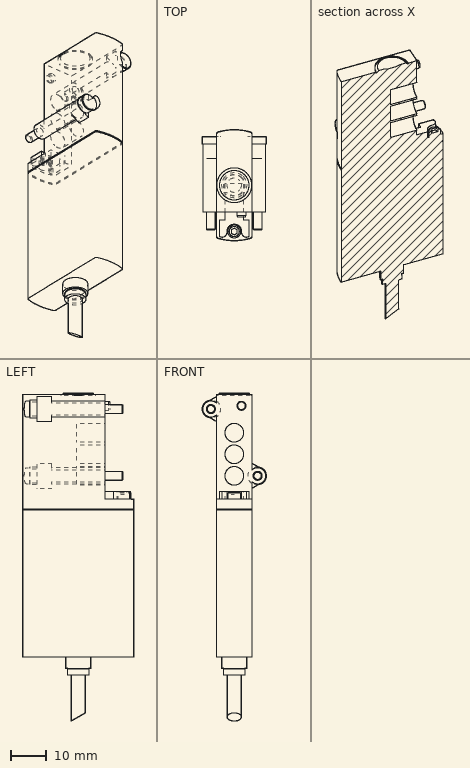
import cadquery as cq
import math

TOTAL_HEIGHT = 91.33
BODY_WIDTH = 10.0
BODY_DEPTH = 31.0
BODY_HEIGHT = 73.2
BUTTON_RISE = 0.3

BOW_HEIGHT = 0.8
CORNER_RADIUS = 0.65

PORT_FACE_Y = -7.5
SHELF_Z = 44.0

JOINT_Z = 41.0
JOINT_HEIGHT = 0.3
JOINT_DEPTH = 0.1

PORT_DIAMETER = 5.2
PORT_DEPTH = 8.0
PORT_PITCH = 6.0
PORT_COUNT = 3
LOWEST_PORT_Z = 50.5
LOCATING_PIN_DIAMETER = 2.5
LOCATING_PIN_X = 2.0
LOCATING_PIN_Z = 70.0
LOCATING_PIN_LENGTH = 1.4
LOCATING_PIN_TIP_LENGTH = 0.5
LOCATING_PIN_TIP_DIAMETER = 2.1

SCREW_OFFSET_X = 6.5
LEFT_SCREW_Z = 69.1
RIGHT_SCREW_Z = LOWEST_PORT_Z
SCREW_DIAMETER = 2.5
SCREW_TIP_Y = -12.5
SCREW_CHAMFER = 0.25
SLEEVE_DIAMETER = 4.5
HEAD_DIAMETER = 4.9
HEAD_SEAT_Y = 11.5
HEAD_HEIGHT = 2.1
HEAD_CHAMFER = 0.2
HEAD_RELIEF_DIAMETER = 5.4
GUSSET_LENGTH = 4.0
GUSSET_ANGLE = 30.0

BUTTON_TOP_DIAMETER = 8.2
BUTTON_BASE_DIAMETER = 9.7
BUTTON_GROOVE_DEPTH = 0.4
DIMPLE_DIAMETER = 5.0
DIMPLE_FLOOR_DIAMETER = 2.5
DIMPLE_DEPTH = 0.35

CLAMP_HEIGHT = 2.2
CLAMP_HALF_WIDTH = 4.1
CLAMP_NECK_HALF_WIDTH = 2.55
CLAMP_SHOULDER_Y = -9.75
CLAMP_SIDE_END_Y = -14.3
CLAMP_FRONT_Y = -14.5
CLAMP_MOUTH_RADIUS = 1.35
CLAMP_SCREW_Y = -12.9
CLAMP_NOTCH_RADIUS = 2.05
CLAMP_SCREW_DIAMETER = 3.6
CLAMP_SCREW_HEIGHT = 2.05
CLAMP_SCREW_CHAMFER = 0.4
CLAMP_SOCKET_ACROSS_FLATS = 1.65
HEXAGON_SIDES = 6
CLAMP_SOCKET_DEPTH = 0.8

OUTLET_DIAMETER = 7.0
OUTLET_LENGTH = 3.1
BUSH_DIAMETER = 6.0
BUSH_END = 5.0
BUSH_GROOVE_WIDTH = 0.25
BUSH_GROOVE_DEPTH = 0.1
CABLE_DIAMETER = 4.0
CABLE_CUT_ANGLE = 30.0

OVERLAP = 0.5


def cylinder_y(x, z, diameter, y_front, y_back):
    """Cylinder along Y between two Y positions."""
    plane = cq.Workplane("XZ", origin=(x, y_back, z))
    return plane.circle(diameter / 2).extrude(y_back - y_front)


def cylinder_z(diameter, z_low, z_high, y=0.0):
    """Cylinder along Z between two heights."""
    return cq.Workplane("XY", origin=(0, y, z_low)).circle(diameter / 2).extrude(z_high - z_low)


def cone_z(low_diameter, high_diameter, z_low, z_high):
    """Truncated cone along Z, centred on the housing axis."""
    base = cq.Workplane("XY", origin=(0, 0, z_low)).circle(low_diameter / 2)
    return base.workplane(offset=z_high - z_low).circle(high_diameter / 2).loft()


def housing_prism(z_low, z_high, inset=0.0):
    """Housing outline extruded between two heights, optionally shrunk all round."""
    x = BODY_WIDTH / 2 - inset
    y_end = BODY_DEPTH / 2 - inset
    y_side = y_end - BOW_HEIGHT
    outline = (
        cq.Workplane("XY", origin=(0, 0, z_low))
        .moveTo(-x, -y_side)
        .threePointArc((0, -y_end), (x, -y_side))
        .lineTo(x, y_side)
        .threePointArc((0, y_end), (-x, y_side))
        .close()
    )
    return outline.extrude(z_high - z_low).edges("|Z").fillet(CORNER_RADIUS)


def make_housing():
    body = housing_prism(0, BODY_HEIGHT)
    step_depth = PORT_FACE_Y + BODY_DEPTH / 2
    step = cq.Workplane("XY").box(
        BODY_WIDTH, step_depth, BODY_HEIGHT - SHELF_Z, centered=(True, False, False)
    )
    body = body.cut(step.translate((0, -BODY_DEPTH / 2, SHELF_Z)))
    joint_top = JOINT_Z + JOINT_HEIGHT
    ring = housing_prism(JOINT_Z, joint_top).cut(housing_prism(JOINT_Z, joint_top, JOINT_DEPTH))
    return body.cut(ring)


def add_front_face_features(body):
    for index in range(PORT_COUNT):
        z = LOWEST_PORT_Z + index * PORT_PITCH
        body = body.cut(cylinder_y(0, z, PORT_DIAMETER, PORT_FACE_Y, PORT_FACE_Y + PORT_DEPTH))
    tip_y = PORT_FACE_Y - LOCATING_PIN_LENGTH
    shoulder_y = tip_y + LOCATING_PIN_TIP_LENGTH
    pin = cylinder_y(
        LOCATING_PIN_X, LOCATING_PIN_Z, LOCATING_PIN_DIAMETER, shoulder_y, PORT_FACE_Y + OVERLAP
    )
    tip = (
        cq.Workplane("XZ", origin=(LOCATING_PIN_X, shoulder_y, LOCATING_PIN_Z))
        .circle(LOCATING_PIN_DIAMETER / 2)
        .workplane(offset=LOCATING_PIN_TIP_LENGTH)
        .circle(LOCATING_PIN_TIP_DIAMETER / 2)
        .loft()
    )
    return body.union(pin).union(tip)


def make_gusset(side, z):
    """Wedge from the housing wall, tangent to the screw sleeve above and below."""
    angle = math.radians(GUSSET_ANGLE)
    radius = SLEEVE_DIAMETER / 2
    tangent_x = SCREW_OFFSET_X + radius * math.sin(angle)
    tangent_z = radius * math.cos(angle)
    root_x = BODY_WIDTH / 2 - OVERLAP
    root_z = tangent_z + (tangent_x - root_x) * math.tan(angle)
    corners = [
        (side * root_x, -root_z),
        (side * tangent_x, -tangent_z),
        (side * tangent_x, tangent_z),
        (side * root_x, root_z),
    ]
    plane = cq.Workplane("XZ", origin=(0, HEAD_SEAT_Y, z))
    return plane.polyline(corners).close().extrude(GUSSET_LENGTH)


def add_mounting_screw(body, side, z):
    x = side * SCREW_OFFSET_X
    head_top = HEAD_SEAT_Y + HEAD_HEIGHT
    head = cylinder_y(x, z, HEAD_DIAMETER, HEAD_SEAT_Y, head_top).faces(">Y").chamfer(HEAD_CHAMFER)
    shank = cylinder_y(x, z, SCREW_DIAMETER, SCREW_TIP_Y, HEAD_SEAT_Y)
    shank = shank.faces("<Y").chamfer(SCREW_CHAMFER)
    sleeve = cylinder_y(x, z, SLEEVE_DIAMETER, PORT_FACE_Y, HEAD_SEAT_Y)
    body = body.cut(cylinder_y(x, z, HEAD_RELIEF_DIAMETER, head_top, BODY_DEPTH / 2))

    core = cq.Workplane("XY").box(
        BODY_WIDTH - 2 * OVERLAP, BODY_DEPTH, BODY_HEIGHT, centered=(True, True, False)
    )
    screw = sleeve.union(make_gusset(side, z)).union(shank).union(head)
    return body.union(screw.cut(core))


def add_button(body):
    groove_z = BODY_HEIGHT - BUTTON_GROOVE_DEPTH
    top_z = BODY_HEIGHT + BUTTON_RISE
    body = body.cut(cylinder_z(BUTTON_BASE_DIAMETER, groove_z, BODY_HEIGHT))
    button = cone_z(BUTTON_BASE_DIAMETER, BUTTON_TOP_DIAMETER, groove_z, top_z)
    dimple = cone_z(DIMPLE_FLOOR_DIAMETER, DIMPLE_DIAMETER, top_z - DIMPLE_DEPTH, top_z)
    return body.union(button).cut(dimple)


def make_clamp():
    """T-shaped block, open to the front around the clamp screw."""
    notch_back_y = CLAMP_SCREW_Y + CLAMP_NOTCH_RADIUS
    mouth_x = CLAMP_NOTCH_RADIUS + CLAMP_MOUTH_RADIUS
    mouth_y = CLAMP_FRONT_Y + CLAMP_MOUTH_RADIUS
    arc_reach = CLAMP_MOUTH_RADIUS * math.cos(math.radians(45))
    arc_x = mouth_x - arc_reach
    arc_y = mouth_y - arc_reach
    block = (
        cq.Workplane("XY", origin=(0, 0, SHELF_Z))
        .moveTo(-CLAMP_NECK_HALF_WIDTH, PORT_FACE_Y)
        .lineTo(-CLAMP_NECK_HALF_WIDTH, CLAMP_SHOULDER_Y)
        .lineTo(-CLAMP_HALF_WIDTH, CLAMP_SHOULDER_Y)
        .lineTo(-CLAMP_HALF_WIDTH, CLAMP_SIDE_END_Y)
        .lineTo(-mouth_x, CLAMP_FRONT_Y)
        .threePointArc((-arc_x, arc_y), (-CLAMP_NOTCH_RADIUS, mouth_y))
        .lineTo(-CLAMP_NOTCH_RADIUS, CLAMP_SCREW_Y)
        .threePointArc((0, notch_back_y), (CLAMP_NOTCH_RADIUS, CLAMP_SCREW_Y))
        .lineTo(CLAMP_NOTCH_RADIUS, mouth_y)
        .threePointArc((arc_x, arc_y), (mouth_x, CLAMP_FRONT_Y))
        .lineTo(CLAMP_HALF_WIDTH, CLAMP_SIDE_END_Y)
        .lineTo(CLAMP_HALF_WIDTH, CLAMP_SHOULDER_Y)
        .lineTo(CLAMP_NECK_HALF_WIDTH, CLAMP_SHOULDER_Y)
        .lineTo(CLAMP_NECK_HALF_WIDTH, PORT_FACE_Y)
        .close()
        .extrude(CLAMP_HEIGHT)
    )
    screw_top = SHELF_Z + CLAMP_SCREW_HEIGHT
    screw = cylinder_z(CLAMP_SCREW_DIAMETER, SHELF_Z, screw_top, CLAMP_SCREW_Y)
    screw = screw.faces(">Z").chamfer(CLAMP_SCREW_CHAMFER)
    socket = (
        cq.Workplane("XY", origin=(0, CLAMP_SCREW_Y, screw_top))
        .polygon(HEXAGON_SIDES, CLAMP_SOCKET_ACROSS_FLATS, circumscribed=True)
        .extrude(-CLAMP_SOCKET_DEPTH)
    )
    return block, screw.cut(socket)


def make_cable_outlet():
    """Outlet, bush and cable; the cable is cut off at a slant, longest at the back."""
    outlet = cylinder_z(OUTLET_DIAMETER, -OUTLET_LENGTH, 0)
    groove_z = -OUTLET_LENGTH - BUSH_GROOVE_WIDTH
    bush = cylinder_z(BUSH_DIAMETER, -BUSH_END, groove_z)
    neck = cylinder_z(BUSH_DIAMETER - 2 * BUSH_GROOVE_DEPTH, groove_z, -OUTLET_LENGTH)
    tip_z = BODY_HEIGHT + BUTTON_RISE - TOTAL_HEIGHT
    radius = CABLE_DIAMETER / 2
    short_z = tip_z + CABLE_DIAMETER * math.tan(math.radians(CABLE_CUT_ANGLE))
    cable = cylinder_z(CABLE_DIAMETER, tip_z, 0)
    waste = (
        cq.Workplane("YZ")
        .polyline([(radius, tip_z), (-radius, short_z), (-radius, tip_z)])
        .close()
        .extrude(radius, both=True)
    )
    return outlet.union(neck).union(bush).union(cable.cut(waste))


result = add_front_face_features(make_housing())
result = add_mounting_screw(result, -1, LEFT_SCREW_Z)
result = add_mounting_screw(result, 1, RIGHT_SCREW_Z)
result = add_button(result)
for clamp_piece in make_clamp():
    result = result.union(clamp_piece)
result = result.union(make_cable_outlet())